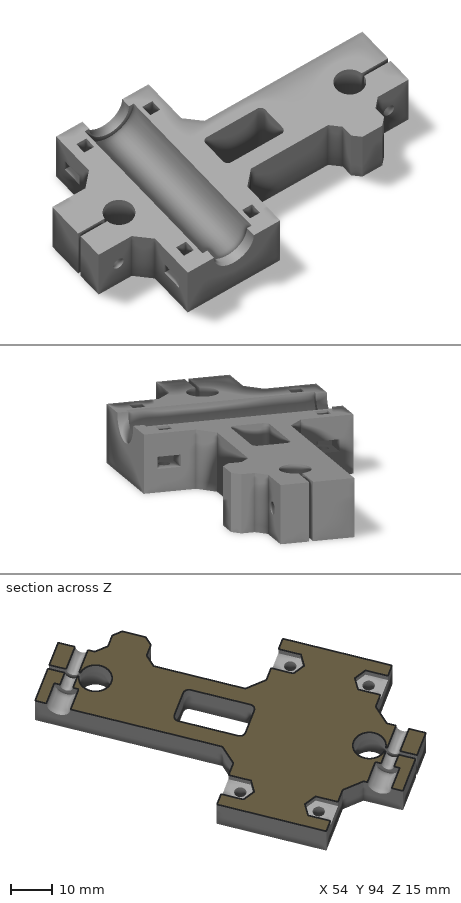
import cadquery as cq
import math

block_length = 54.0
block_width = 28.0
thickness = 15.0
total_length = 94.0

arm_width = 19.0
front_end = -28.1
back_end = front_end + total_length
corner_web = 4.0

lug_reach = 8.0
lug_width = 10.0
lug_from_back = 16.9
lug_chamfer = 2.0
lug_web = 2.5

window_width = 10.0
window_length = 18.05
window_radius = 1.4

groove_diameter = 14.85
groove_length = 48.3
groove_end_diameter = 12.0

rod_diameter = 8.0
rod_offset = 1.6
rod_from_end = 12.0
slit_width = 1.0
clamp_screw_diameter = 3.2
clamp_head_diameter = 6.1
clamp_head_depth = 6.6
clamp_screw_from_end = 6.0

screw_spacing_x = 40.9
screw_spacing_y = 20.0
screw_diameter = 3.0
screw_well_length = 3.3
screw_well_width = 3.0
nut_flats = 6.0
nut_height = 3.1

half_width = block_width / 2
half_arm = arm_width / 2
mid_height = thickness / 2


def make_body():
    block = cq.Workplane("XY").box(block_length, block_width, thickness, centered=(True, True, False))
    arm = (
        cq.Workplane("XY")
        .center(0, (front_end + back_end) / 2)
        .box(arm_width, total_length, thickness, centered=(True, True, False))
    )
    web_end = half_arm + corner_web
    web_top = half_width + corner_web
    webs = (
        cq.Workplane("XY")
        .polyline([
            (-web_end, -half_width), (-half_arm, -web_top), (half_arm, -web_top), (web_end, -half_width),
            (web_end, half_width), (half_arm, web_top), (-half_arm, web_top), (-web_end, half_width),
        ])
        .close()
        .extrude(thickness)
    )
    return block.union(arm).union(webs)


def make_lug():
    half_lug = lug_width / 2
    tip = half_arm + lug_reach
    return (
        cq.Workplane("XY")
        .center(0, back_end - lug_from_back)
        .polyline([
            (0, -half_lug - lug_web), (half_arm, -half_lug - lug_web), (half_arm + lug_web, -half_lug),
            (tip - lug_chamfer, -half_lug), (tip, -half_lug + lug_chamfer),
            (tip, half_lug - lug_chamfer), (tip - lug_chamfer, half_lug),
            (half_arm + lug_web, half_lug), (half_arm, half_lug + lug_web), (0, half_lug + lug_web),
        ])
        .close()
        .extrude(thickness)
    )


def make_window():
    return (
        cq.Workplane("XY")
        .center(0, half_width + window_length / 2)
        .rect(window_width, window_length)
        .extrude(thickness)
        .edges("|Z")
        .fillet(window_radius)
    )


def make_groove():
    seat = (
        cq.Workplane("YZ", origin=(-groove_length / 2, 0, thickness))
        .circle(groove_diameter / 2)
        .extrude(groove_length)
    )
    ends = (
        cq.Workplane("YZ", origin=(-block_length / 2, 0, thickness))
        .circle(groove_end_diameter / 2)
        .extrude(block_length)
    )
    return seat.union(ends)


def make_clamp(end, inward):
    """Rod hole, slit and counterbored screw hole at one arm end; inward is the Y sign toward the middle."""
    rod_y = end + inward * rod_from_end
    screw_y = end + inward * clamp_screw_from_end
    rod = cq.Workplane("XY").center(rod_offset, rod_y).circle(rod_diameter / 2).extrude(thickness)
    slit = (
        cq.Workplane("XY")
        .center(rod_offset, (end + rod_y) / 2)
        .rect(slit_width, rod_from_end)
        .extrude(thickness)
    )
    screw_plane = cq.Workplane("YZ", origin=(-half_arm, screw_y, mid_height))
    screw = screw_plane.circle(clamp_screw_diameter / 2).extrude(arm_width)
    head = screw_plane.circle(clamp_head_diameter / 2).extrude(clamp_head_depth)
    return rod.union(slit).union(screw).union(head)


def make_cover_screw(x, side):
    """Screw hole with a square upper well and a nut pocket open to the block face on the given Y side."""
    y = side * screw_spacing_y / 2
    nut_bottom = mid_height - nut_height / 2
    hole = cq.Workplane("XY").center(x, y).circle(screw_diameter / 2).extrude(thickness)
    well = (
        cq.Workplane("XY", origin=(x, y, mid_height))
        .rect(screw_well_length, screw_well_width)
        .extrude(mid_height)
    )
    half_flats = nut_flats / 2
    shoulder = y - side * half_flats / math.sqrt(3)
    point = y - side * nut_flats / math.sqrt(3)
    face = side * half_width
    nut = (
        cq.Workplane("XY", origin=(0, 0, nut_bottom))
        .polyline([
            (x - half_flats, face), (x - half_flats, shoulder), (x, point),
            (x + half_flats, shoulder), (x + half_flats, face),
        ])
        .close()
        .extrude(nut_height)
    )
    return hole.union(well).union(nut)


result = make_body().union(make_lug()).cut(make_window()).cut(make_groove())
result = result.cut(make_clamp(front_end, 1)).cut(make_clamp(back_end, -1))
for screw_x in (-screw_spacing_x / 2, screw_spacing_x / 2):
    for face_side in (-1, 1):
        result = result.cut(make_cover_screw(screw_x, face_side))